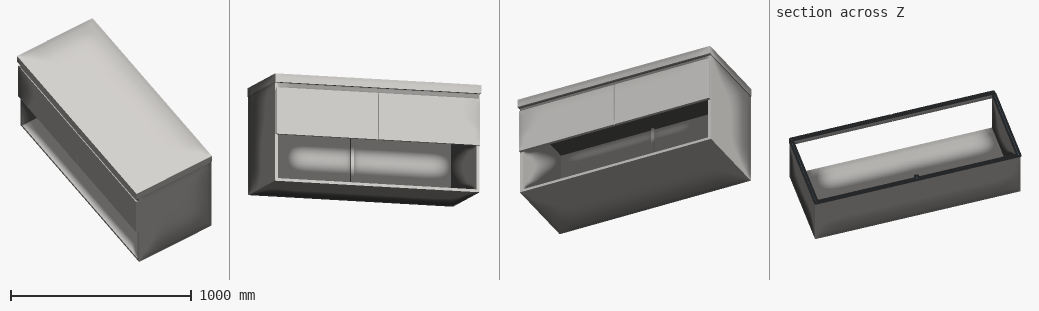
import cadquery as cq

COUNTER_WIDTH = 1200.0
COUNTER_DEPTH = 500.0
TOTAL_HEIGHT = 600.0
COUNTER_THICKNESS = 48.0
CARCASS_WIDTH = 1190.0
CARCASS_DEPTH = 480.0
CARCASS_HEIGHT = TOTAL_HEIGHT - COUNTER_THICKNESS

BOARD = 18.0
FLOOR_THICKNESS = 15.0
INNER_WIDTH = CARCASS_WIDTH - 2 * BOARD
STILE_DEPTH = 36.0

DRAWER_THICKNESS = 18.0
DRAWER_BOTTOM = 262.0
DRAWER_TOP = 523.0
DRAWER_SIDE_REVEAL = 4.0
DRAWER_GAP = 5.0
DRAWER_WIDTH = (CARCASS_WIDTH - 2 * DRAWER_SIDE_REVEAL - DRAWER_GAP) / 2
DRAWER_BEVEL = 15.0

TOP_BOARD_OVERLAP = 22.0
TOP_BOARD_THICKNESS = CARCASS_HEIGHT - DRAWER_TOP + TOP_BOARD_OVERLAP


def board(width, depth, height, center_x, back_y, bottom_z):
    """Rectangular board that extends forward (-Y) from its back face and up from its underside."""
    return (
        cq.Workplane("XY")
        .box(width, depth, height, centered=(True, False, False))
        .translate((center_x, back_y - depth, bottom_z))
    )


def make_countertop():
    return board(COUNTER_WIDTH, COUNTER_DEPTH, COUNTER_THICKNESS, 0, 0, CARCASS_HEIGHT)


def make_side_panel(side):
    """Side panel: side is -1 for the left and +1 for the right."""
    center_x = side * (CARCASS_WIDTH - BOARD) / 2
    return board(BOARD, CARCASS_DEPTH, CARCASS_HEIGHT, center_x, 0, 0)


def make_floor():
    return board(INNER_WIDTH, CARCASS_DEPTH, FLOOR_THICKNESS, 0, 0, 0)


def make_inner_frame():
    """Back board, top board and central rear stile as one piece between the side panels."""
    height = CARCASS_HEIGHT - FLOOR_THICKNESS
    back = board(INNER_WIDTH, BOARD, height, 0, 0, FLOOR_THICKNESS)
    top_bottom = CARCASS_HEIGHT - TOP_BOARD_THICKNESS
    top = board(INNER_WIDTH, CARCASS_DEPTH, TOP_BOARD_THICKNESS, 0, 0, top_bottom)
    stile = board(BOARD, STILE_DEPTH, height, 0, 0, FLOOR_THICKNESS)
    return back.union(top).union(stile)


def make_drawer_front(side):
    """Drawer front whose rear top edge is bevelled into a finger grip."""
    center_x = side * (DRAWER_WIDTH + DRAWER_GAP) / 2
    height = DRAWER_TOP - DRAWER_BOTTOM
    back_y = -CARCASS_DEPTH
    front = board(DRAWER_WIDTH, DRAWER_THICKNESS, height, center_x, back_y, DRAWER_BOTTOM)
    return front.faces(">Y").edges(">Z").chamfer(DRAWER_BEVEL)


countertop = make_countertop()
floor = make_floor()
inner_frame = make_inner_frame()
side_panels = [make_side_panel(side) for side in (-1, 1)]
drawer_fronts = [make_drawer_front(side) for side in (-1, 1)]

result = cq.Compound.makeCompound([
    countertop.val(),
    floor.val(),
    inner_frame.val(),
    *[panel.val() for panel in side_panels],
    *[front.val() for front in drawer_fronts],
])